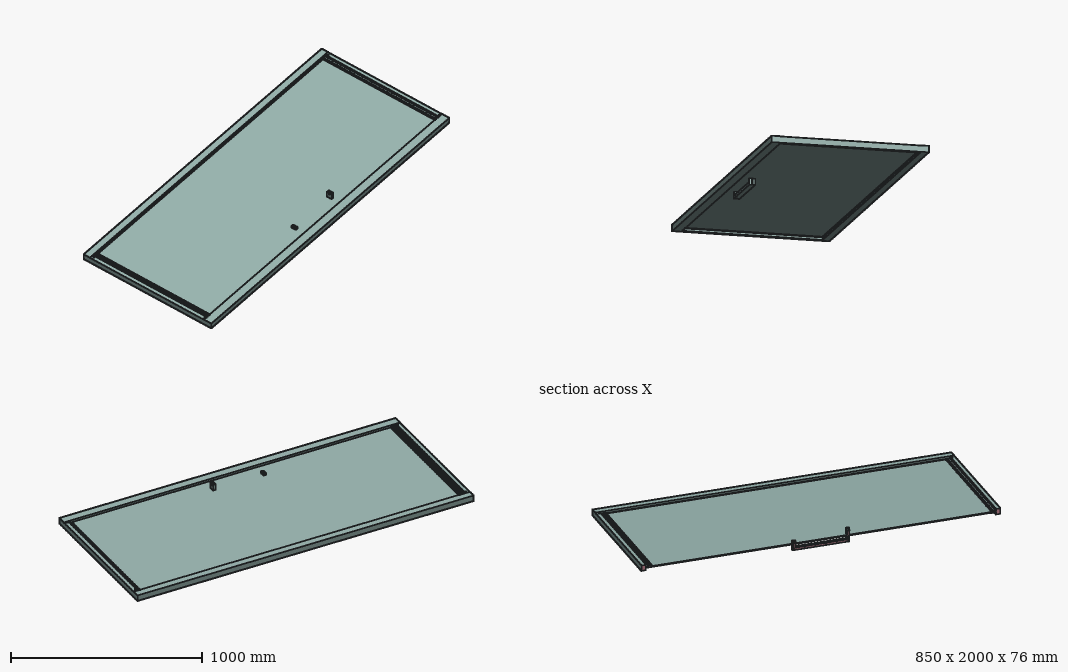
import cadquery as cq

FRAME_WIDTH = 850.0
FRAME_LENGTH = 2000.0
STILE_DEPTH = 35.0
LEFT_STILE_WIDTH = 42.0
RIGHT_STILE_WIDTH = 50.0
RAIL_WIDTH = 25.0
RAIL_TOP_SETBACK = 1.0

STILE_LEDGE_WIDTH = 5.0
RAIL_LEDGE_WIDTH = 14.0
LEDGE_DEPTH = 10.0

SCREW_DIAMETER = 6.0
SCREW_X = 370.0
SCREW_END_DISTANCE = 17.0
SCREW_HOLE_DEPTH = 10.0

PANEL_THICKNESS = 8.0
PANEL_END_GAP = 9.0

SEAL_RIB_WIDTH = 6.0
SEAL_RIB_HEIGHTS = (6.0, 10.0, 6.0)

HANDLE_X = 303.5
HANDLE_Y = 2.0
HANDLE_WIDTH = 31.0
HANDLE_SPACING = 300.0
HANDLE_REACH = 38.0
BAR_SIZE = 16.0
GROOVE_WIDTH = 5.0
END_GROOVE_DEPTH = 4.0
CAP_HEIGHT = 9.0
KNOB_GROOVE_DEPTH = 10.0

HALF_WIDTH = FRAME_WIDTH / 2
HALF_LENGTH = FRAME_LENGTH / 2
HALF_DEPTH = STILE_DEPTH / 2
HALF_LEDGE = LEDGE_DEPTH / 2
HALF_PANEL = PANEL_THICKNESS / 2
OPENING_LEFT = -HALF_WIDTH + LEFT_STILE_WIDTH
OPENING_RIGHT = HALF_WIDTH - RIGHT_STILE_WIDTH
RAIL_INNER_Y = HALF_LENGTH - RAIL_WIDTH
RAIL_TOP_Z = HALF_DEPTH - RAIL_TOP_SETBACK
LEDGE_INNER_Y = RAIL_INNER_Y - RAIL_LEDGE_WIDTH


def block(x_range, y_range, z_range):
    """Axis-aligned box spanning three (low, high) ranges."""
    low, high = zip(x_range, y_range, z_range)
    size = [b - a for a, b in zip(low, high)]
    return cq.Workplane("XY").box(*size, centered=False).translate(low)


def make_stiles():
    """Both stiles, the left one with a ledge along its inner side."""
    full_length = (-HALF_LENGTH, HALF_LENGTH)
    full_depth = (-HALF_DEPTH, HALF_DEPTH)
    left = block((-HALF_WIDTH, OPENING_LEFT), full_length, full_depth)
    right = block((OPENING_RIGHT, HALF_WIDTH), full_length, full_depth)
    ledge = block(
        (OPENING_LEFT, OPENING_LEFT + STILE_LEDGE_WIDTH),
        (-RAIL_INNER_Y, RAIL_INNER_Y),
        (-HALF_LEDGE, HALF_LEDGE),
    )
    return left.union(right).union(ledge)


def make_rail():
    """The rail at the +Y end, with its ledge and screw holes."""
    span = (OPENING_LEFT, OPENING_RIGHT)
    rail = block(span, (RAIL_INNER_Y, HALF_LENGTH), (-HALF_DEPTH, RAIL_TOP_Z))
    rail = rail.union(block(span, (LEDGE_INNER_Y, RAIL_INNER_Y), (-HALF_LEDGE, HALF_LEDGE)))
    screw_y = HALF_LENGTH - SCREW_END_DISTANCE
    holes = (
        cq.Workplane("XY", origin=(0, 0, RAIL_TOP_Z - SCREW_HOLE_DEPTH))
        .pushPoints([(-SCREW_X, screw_y), (SCREW_X, screw_y)])
        .circle(SCREW_DIAMETER / 2)
        .extrude(SCREW_HOLE_DEPTH)
    )
    return rail.cut(holes)


def make_panel():
    """The flat panel, reaching the ledge of the -Y rail but stopping short of the +Y one."""
    return block(
        (OPENING_LEFT, OPENING_RIGHT),
        (-LEDGE_INNER_Y, LEDGE_INNER_Y - PANEL_END_GAP),
        (-HALF_PANEL, HALF_PANEL),
    )


def make_seal():
    """Ribs of stepped height across the -Y end of the panel."""
    seal = cq.Workplane("XY")
    for index, height in enumerate(SEAL_RIB_HEIGHTS):
        rib_y = -LEDGE_INNER_Y + index * SEAL_RIB_WIDTH
        rib = block(
            (OPENING_LEFT + STILE_LEDGE_WIDTH, OPENING_RIGHT),
            (rib_y, rib_y + SEAL_RIB_WIDTH),
            (-HALF_PANEL, HALF_PANEL + height),
        )
        seal = seal.union(rib)
    return seal


def make_handle():
    """Pull bar under the panel, a knob above it at one leg and a low cap at the other."""
    half_width = HANDLE_WIDTH / 2
    half_bar = BAR_SIZE / 2
    far_leg_y = HANDLE_Y + HANDLE_SPACING / 2
    near_leg_y = HANDLE_Y - HANDLE_SPACING / 2
    width = (HANDLE_X - half_width, HANDLE_X + half_width)
    knob_range = (far_leg_y - half_bar, far_leg_y + half_bar)
    cap_range = (near_leg_y - half_bar, near_leg_y + half_bar)
    bar_range = (near_leg_y - half_bar, far_leg_y + half_bar)

    handle = block(width, bar_range, (-HANDLE_REACH, -HANDLE_REACH + BAR_SIZE))
    knob_leg = block(width, knob_range, (-HANDLE_REACH, HANDLE_REACH))
    handle = handle.union(knob_leg)
    handle = handle.union(block(width, cap_range, (-HANDLE_REACH, HALF_PANEL + CAP_HEIGHT)))

    groove = (HANDLE_X - GROOVE_WIDTH / 2, HANDLE_X + GROOVE_WIDTH / 2)
    inner_bar = (bar_range[0] + END_GROOVE_DEPTH, bar_range[1] - END_GROOVE_DEPTH)
    end_grooves = block(groove, bar_range, (-HANDLE_REACH, -HALF_PANEL)).cut(
        block(groove, inner_bar, (-HANDLE_REACH, -HALF_PANEL))
    )
    knob_groove = block(groove, knob_range, (HANDLE_REACH - KNOB_GROOVE_DEPTH, HANDLE_REACH))
    cap_groove = block(groove, cap_range, (HALF_PANEL, HALF_PANEL + CAP_HEIGHT))
    return handle.cut(end_grooves).cut(knob_groove).cut(cap_groove)


rail = make_rail()
result = (
    make_stiles()
    .union(rail)
    .union(rail.mirror("XZ"))
    .union(make_panel())
    .union(make_seal())
    .union(make_handle())
)